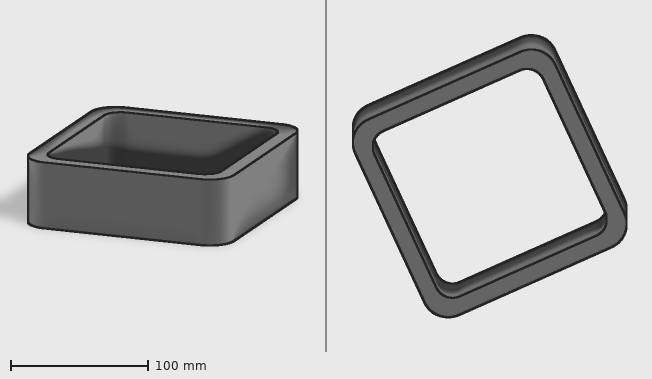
import cadquery as cq

outer_side = 160.0
height = 50.0
wall = 12.5
outer_radius = 19.0
inner_radius = 13.0

inner_side = outer_side - 2 * wall


def rounded_block(side, corner_radius):
    """Square block of the ring's height with rounded vertical edges."""
    block = cq.Workplane("XY").rect(side, side).extrude(height)
    return block.edges("|Z").fillet(corner_radius)


result = rounded_block(outer_side, outer_radius).cut(rounded_block(inner_side, inner_radius))